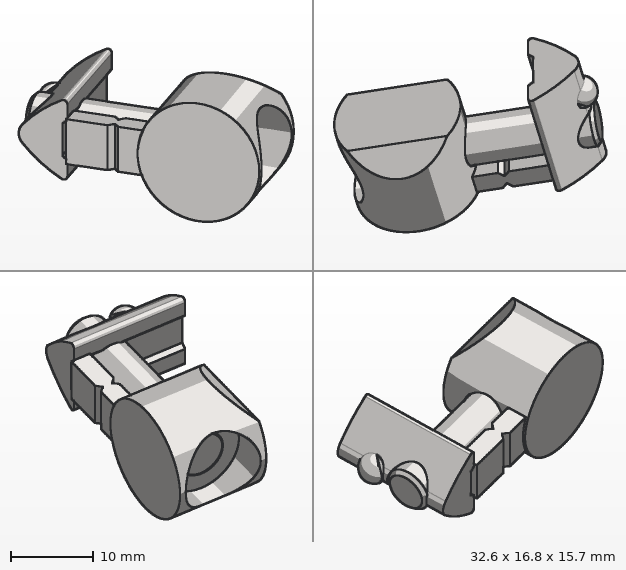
import cadquery as cq
import math

overall_length = 32.6

drum_radius = 7.85
drum_length = 12.45
drum_front_y = -drum_length / 2
drum_back_y = drum_length / 2
back_chamfer = 3.05
bore_diameter = 6.2
pocket_diameter = 10.82
pocket_floor_x = 2.93

pin_diameter = 6.0
pin_tip_diameter = 4.92
pin_chamfer = (pin_diameter - pin_tip_diameter) / 2
pin_tip_x = -23.65
pin_length = pocket_floor_x - pin_tip_x

wedge_back_x = -17.17
wedge_nose_x = -23.45
wedge_front_y = -5.5
wedge_length = 16.05
wedge_half_height = 5.3
corner_radius = 0.5
corner_start_angle = math.radians(118)
nose_end_x = -22.95
nose_end_z = 1.27
flank_mid_x = -20.6
flank_mid_z = 3.5
groove_depth = 0.65
groove_floor_half_height = 2.12
groove_mouth_half_height = 2.67

ball_diameter = 4.0
ball_x = drum_radius - overall_length + ball_diameter / 2
ball_y = 5.48

bar_height = pin_diameter
bar_front_y = -5.9
bar_back_y = -3.2
bar_notch_x = -11.15
bar_notch_depth = 0.7


def cylinder_along_x(start_x, length, diameter):
    return cq.Workplane("YZ").workplane(offset=start_x).circle(diameter / 2).extrude(length)


def make_bar():
    """Bar with a V notch in each long side, running into the drum."""
    profile = (
        cq.Workplane("XY")
        .workplane(offset=-bar_height / 2)
        .moveTo(wedge_back_x, bar_front_y)
        .lineTo(bar_notch_x - bar_notch_depth, bar_front_y)
        .lineTo(bar_notch_x, bar_front_y + bar_notch_depth)
        .lineTo(bar_notch_x + bar_notch_depth, bar_front_y)
        .lineTo(0, bar_front_y)
        .lineTo(0, bar_back_y)
        .lineTo(bar_notch_x + bar_notch_depth, bar_back_y)
        .lineTo(bar_notch_x, bar_back_y - bar_notch_depth)
        .lineTo(bar_notch_x - bar_notch_depth, bar_back_y)
        .lineTo(wedge_back_x, bar_back_y)
        .close()
    )
    return profile.extrude(bar_height)


def make_drum():
    """Drum with sloped back flats and its bar, bored for the pin and pocketed on +X."""
    drum = (
        cq.Workplane("XZ", origin=(0, drum_front_y, 0))
        .circle(drum_radius)
        .extrude(-drum_length)
    )
    envelope = (
        cq.Workplane("YZ")
        .polyline([
            (drum_front_y, -drum_radius),
            (drum_back_y - back_chamfer, -drum_radius),
            (drum_back_y, back_chamfer - drum_radius),
            (drum_back_y, drum_radius - back_chamfer),
            (drum_back_y - back_chamfer, drum_radius),
            (drum_front_y, drum_radius),
        ])
        .close()
        .extrude(drum_radius, both=True)
    )
    drum = drum.intersect(envelope).union(make_bar())
    bore = cylinder_along_x(-drum_radius, 2 * drum_radius, bore_diameter)
    pocket = cylinder_along_x(pocket_floor_x, drum_radius, pocket_diameter)
    return drum.cut(bore).cut(pocket)


def make_pin():
    """Pin through wedge and drum, chamfered at its -X tip."""
    return cylinder_along_x(pin_tip_x, pin_length, pin_diameter).faces("<X").chamfer(pin_chamfer)


def make_wedge():
    """Round-nosed wedge with convex flanks, a ball on its nose and a groove in its back."""
    corner_x = wedge_back_x - corner_radius
    corner_z = wedge_half_height - corner_radius

    def corner_point(angle):
        return (
            corner_x + corner_radius * math.cos(angle),
            corner_z + corner_radius * math.sin(angle),
        )

    def mirrored(point):
        return (point[0], -point[1])

    nose_end = (nose_end_x, nose_end_z)
    flank_mid = (flank_mid_x, flank_mid_z)
    corner_start = corner_point(corner_start_angle)
    corner_mid = corner_point(corner_start_angle / 2)
    corner_end = corner_point(0)

    wedge = (
        cq.Workplane("XZ", origin=(0, wedge_front_y, 0))
        .moveTo(*mirrored(nose_end))
        .threePointArc((wedge_nose_x, 0), nose_end)
        .threePointArc(flank_mid, corner_start)
        .threePointArc(corner_mid, corner_end)
        .lineTo(*mirrored(corner_end))
        .threePointArc(mirrored(corner_mid), mirrored(corner_start))
        .threePointArc(mirrored(flank_mid), mirrored(nose_end))
        .close()
        .extrude(-wedge_length)
    )
    groove = (
        cq.Workplane("XZ", origin=(0, wedge_front_y, 0))
        .polyline([
            (wedge_back_x, -groove_mouth_half_height),
            (wedge_back_x - groove_depth, -groove_floor_half_height),
            (wedge_back_x - groove_depth, groove_floor_half_height),
            (wedge_back_x, groove_mouth_half_height),
        ])
        .close()
        .extrude(-wedge_length)
    )
    ball = cq.Workplane("XY").sphere(ball_diameter / 2).translate((ball_x, ball_y, 0))
    pin_hole = cylinder_along_x(pin_tip_x, pin_length, pin_diameter)
    return wedge.cut(groove).union(ball).cut(pin_hole)


drum = make_drum()
pin = make_pin()
wedge = make_wedge()

result = cq.Compound.makeCompound([drum.solids().val(), pin.solids().val(), wedge.solids().val()])